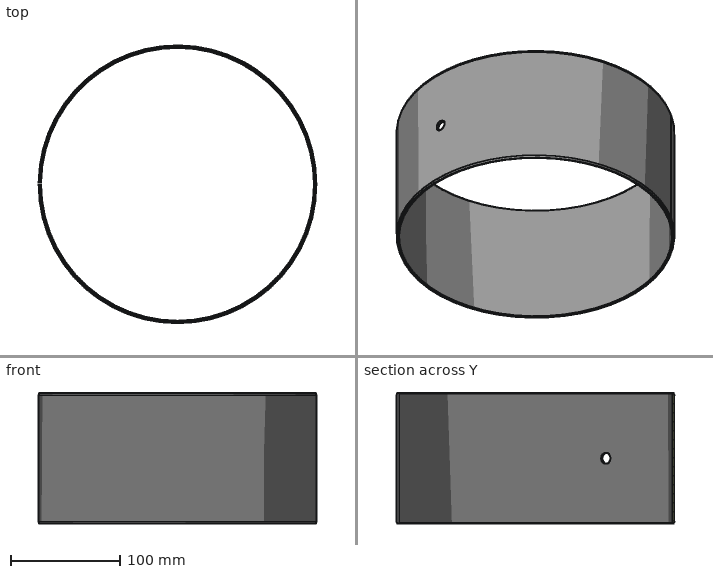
import cadquery as cq

outer_diameter = 255.0
height = 120.0
wall = 2.5
outer_radius = outer_diameter / 2

outer_bevel_height = 2.0
bevel_depth = 0.8
inner_bevel_height = bevel_depth

split_width = 2.0

hole_diameter = 10.0
hole_angle = 59.0


def make_ring():
    """Revolve the wall section, which is beveled at all four corners."""
    inner_radius = outer_radius - wall
    rim_outer_radius = outer_radius - bevel_depth
    rim_inner_radius = inner_radius + bevel_depth
    top = height / 2
    outer_bevel_start = top - outer_bevel_height
    inner_bevel_start = top - inner_bevel_height
    section = (
        cq.Workplane("XZ")
        .moveTo(rim_inner_radius, -top)
        .lineTo(rim_outer_radius, -top)
        .lineTo(outer_radius, -outer_bevel_start)
        .lineTo(outer_radius, outer_bevel_start)
        .lineTo(rim_outer_radius, top)
        .lineTo(rim_inner_radius, top)
        .lineTo(inner_radius, inner_bevel_start)
        .lineTo(inner_radius, -inner_bevel_start)
        .close()
    )
    return section.revolve(360, (0, 0, 0), (0, 1, 0))


def make_split():
    """Full-height slab that opens the ring on its -X side."""
    return cq.Workplane("XY").box(
        outer_diameter, split_width, height, centered=(True, False, True)
    ).translate((-outer_radius, 0, 0))


def make_hole():
    """Radial cylinder from the ring axis out through the wall."""
    cylinder = cq.Workplane("YZ").circle(hole_diameter / 2).extrude(outer_diameter)
    return cylinder.rotate((0, 0, 0), (0, 0, 1), hole_angle)


result = make_ring().cut(make_split()).cut(make_hole())